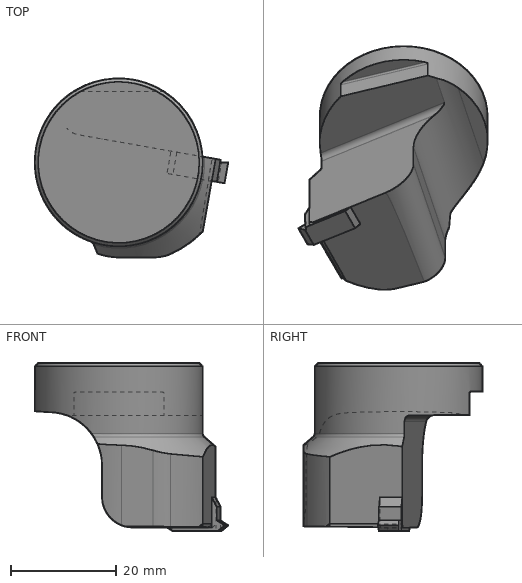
import cadquery as cq
import math

HEAD_RADIUS = 16.0
TOP_Z = 32.0
HEAD_CHAMFER = 0.65

SHOULDER_Z = 18.2
SHOULDER_SLOPE = math.radians(41)
SHOULDER_FILLET = 0.9
SHOULDER_REACH = 5.53

FRONT_Y = -18.15
FLAT_START_X = 0.48
FLAT_END_X = 6.5
FRONT_LEFT_RADIUS = 14.0
CORNER_ARC_END = (9.75, -17.5)
OUTER_ARC_MIDDLE = (13.05, -15.65)
OUTER_ARC_END = (16.05, -13.1)
BOTTOM_Z = 0.65
BOTTOM_RISE = 0.22
BOTTOM_LENGTH = 22.1
SEAT_CHAMFER = 0.75

WALL_X = -3.2
WALL_TOP_Z = 12.55
RELIEF_RADIUS = 10.05
RELIEF_OUTER_Z = 22.78
FOOT_RADIUS = 5.9

BACK_FLOOR_Z = 22.05
BACK_FILLET = 1.1
STEP_Y = 13.5
STEP_Z = 26.55
STEP_FILLET = 0.35

TURN = math.radians(10)
BACK_V = 3.87
SEAT_U = 18.05

INSERT_WIDTH = 4.3
INSERT_TOP_Z = 6.4
LAND_U = 19.02
LAND_TOP_Z = 4.6
LAND_BOTTOM_Z = 2.05
TIP_X = 36.85 - HEAD_RADIUS
TIP_Z = 1.07
SOLE_OUTER_U = 19.25
SOLE_INNER_U = 10.5
HEEL_U = 9.35

FAR = 55.3
U_DIRECTION = cq.Vector(math.cos(TURN), -math.sin(TURN), 0)
V_DIRECTION = cq.Vector(math.sin(TURN), math.cos(TURN), 0)
ORIGIN = cq.Vector(0, 0, 0)


def section_across_u(u):
    """Workplane with local axes V and Z, placed at distance u along U."""
    return cq.Workplane(cq.Plane(ORIGIN + U_DIRECTION * u, V_DIRECTION, U_DIRECTION))


def section_across_v(v):
    """Workplane with local axes U and Z, facing -V, placed at distance v along V."""
    return cq.Workplane(cq.Plane(ORIGIN + V_DIRECTION * v, U_DIRECTION, V_DIRECTION * -1))


def turned_blank():
    """Head and conical shoulder, revolved about Z with a fillet where they meet."""
    half_bend = (math.pi / 2 - SHOULDER_SLOPE) / 2
    tangent = SHOULDER_FILLET * math.tan(half_bend)
    arc_center_r = HEAD_RADIUS + SHOULDER_FILLET
    arc_start_z = SHOULDER_Z + tangent
    arc_middle = (
        arc_center_r - SHOULDER_FILLET * math.cos(half_bend),
        arc_start_z - SHOULDER_FILLET * math.sin(half_bend),
    )
    arc_end = (
        HEAD_RADIUS + tangent * math.cos(SHOULDER_SLOPE),
        SHOULDER_Z - tangent * math.sin(SHOULDER_SLOPE),
    )
    rim_r = HEAD_RADIUS + SHOULDER_REACH
    return (
        cq.Workplane("XZ")
        .moveTo(0, BOTTOM_Z)
        .lineTo(0, TOP_Z)
        .lineTo(HEAD_RADIUS - HEAD_CHAMFER, TOP_Z)
        .lineTo(HEAD_RADIUS, TOP_Z - HEAD_CHAMFER)
        .lineTo(HEAD_RADIUS, arc_start_z)
        .threePointArc(arc_middle, arc_end)
        .lineTo(rim_r, SHOULDER_Z - SHOULDER_REACH * math.tan(SHOULDER_SLOPE))
        .lineTo(rim_r, BOTTOM_Z)
        .close()
        .revolve(360, (0, 0), (0, 1))
    )


def block_envelope():
    """Plan outline of the block, carried up through the shoulder."""
    left_x = FLAT_START_X - FRONT_LEFT_RADIUS
    left_center_y = FRONT_Y + FRONT_LEFT_RADIUS
    left_arc_middle = (
        FLAT_START_X - FRONT_LEFT_RADIUS * math.sqrt(0.5),
        left_center_y - FRONT_LEFT_RADIUS * math.sqrt(0.5),
    )
    seat_back = U_DIRECTION * SEAT_U + V_DIRECTION * HEAD_RADIUS
    return (
        cq.Workplane("XY")
        .moveTo(left_x, left_center_y)
        .threePointArc(left_arc_middle, (FLAT_START_X, FRONT_Y))
        .lineTo(FLAT_END_X, FRONT_Y)
        .tangentArcPoint(CORNER_ARC_END, relative=False)
        .threePointArc(OUTER_ARC_MIDDLE, OUTER_ARC_END)
        .lineTo(seat_back.x, seat_back.y)
        .lineTo(left_x, seat_back.y)
        .close()
        .extrude(TOP_Z)
    )


def left_relief():
    """Material removed left of the block wall, with a rounded roof and foot."""
    roof_center_x = WALL_X - RELIEF_RADIUS
    roof_middle = (
        roof_center_x + RELIEF_RADIUS * math.sqrt(0.5),
        WALL_TOP_Z + RELIEF_RADIUS * math.sqrt(0.5),
    )
    foot_center_x = WALL_X + FOOT_RADIUS
    foot_top_z = BOTTOM_Z + FOOT_RADIUS
    foot_middle = (
        foot_center_x - FOOT_RADIUS * math.sqrt(0.5),
        foot_top_z - FOOT_RADIUS * math.sqrt(0.5),
    )
    return (
        cq.Workplane("XZ")
        .moveTo(-FAR, RELIEF_OUTER_Z)
        .lineTo(-HEAD_RADIUS, RELIEF_OUTER_Z)
        .lineTo(roof_center_x, WALL_TOP_Z + RELIEF_RADIUS)
        .threePointArc(roof_middle, (WALL_X, WALL_TOP_Z))
        .lineTo(WALL_X, foot_top_z)
        .threePointArc(foot_middle, (foot_center_x, BOTTOM_Z))
        .lineTo(foot_center_x, -FAR)
        .lineTo(-FAR, -FAR)
        .close()
        .extrude(FAR, both=True)
    )


def back_clearance():
    """Space behind the block, with a fillet up to the underside of the head."""
    return (
        section_across_u(-FAR)
        .moveTo(BACK_V, -FAR)
        .lineTo(BACK_V, BACK_FLOOR_Z - BACK_FILLET)
        .radiusArc((BACK_V + BACK_FILLET, BACK_FLOOR_Z), BACK_FILLET)
        .lineTo(FAR, BACK_FLOOR_Z)
        .lineTo(FAR, -FAR)
        .close()
        .extrude(2 * FAR)
    )


def rear_step():
    """Flat step at the rear of the head, with a small inner fillet."""
    depth = HEAD_RADIUS
    return (
        cq.Workplane("XY")
        .box(2 * FAR, depth, STEP_Z, centered=(True, False, False))
        .edges("|X and >Z and <Y")
        .fillet(STEP_FILLET)
        .translate((0, STEP_Y, 0))
    )


def bottom_slope():
    """Wedge below the block, whose underside rises gently toward the front."""
    front_v = BACK_V - BOTTOM_LENGTH
    below_z = BOTTOM_Z - FAR
    return (
        section_across_u(-FAR)
        .polyline([(BACK_V, BOTTOM_Z), (front_v, BOTTOM_Z + BOTTOM_RISE), (front_v, below_z), (BACK_V, below_z)])
        .close()
        .extrude(2 * FAR)
    )


def seat_corner():
    """Chamfer along the bottom edge of the insert seat."""
    inner_u = SEAT_U - SEAT_CHAMFER
    return (
        section_across_v(FAR)
        .polyline([(inner_u, BOTTOM_Z), (SEAT_U, BOTTOM_Z + SEAT_CHAMFER), (SEAT_U, BOTTOM_Z)])
        .close()
        .extrude(2 * FAR)
    )


def make_holder():
    head_envelope = cq.Workplane("XY").circle(HEAD_RADIUS).extrude(TOP_Z)
    holder = turned_blank().intersect(head_envelope.union(block_envelope()))
    for removed in (left_relief(), back_clearance(), rear_step(), bottom_slope(), seat_corner()):
        holder = holder.cut(removed)
    return holder


def make_insert(holder):
    """Toothed insert that wraps the seat and the underside of the holder."""
    tip_u = TIP_X * math.cos(TURN)
    profile = [
        (SEAT_U, INSERT_TOP_Z),
        (LAND_U, LAND_TOP_Z),
        (LAND_U, LAND_BOTTOM_Z),
        (tip_u, TIP_Z),
        (SOLE_OUTER_U, 0),
        (SOLE_INNER_U, 0),
        (HEEL_U, BOTTOM_Z),
        (SEAT_U - SEAT_CHAMFER, BOTTOM_Z),
        (SEAT_U, BOTTOM_Z + SEAT_CHAMFER),
    ]
    blank = section_across_v(BACK_V).polyline(profile).close().extrude(INSERT_WIDTH)
    flank_relief = (
        cq.Workplane("XY")
        .box(FAR, FAR, LAND_BOTTOM_Z, centered=False)
        .translate((LAND_U / math.cos(TURN), 0, 0))
    )
    return blank.cut(flank_relief).cut(holder)


holder = make_holder()
insert = make_insert(holder)
result = cq.Compound.makeCompound([holder.solids().val(), insert.solids().val()])